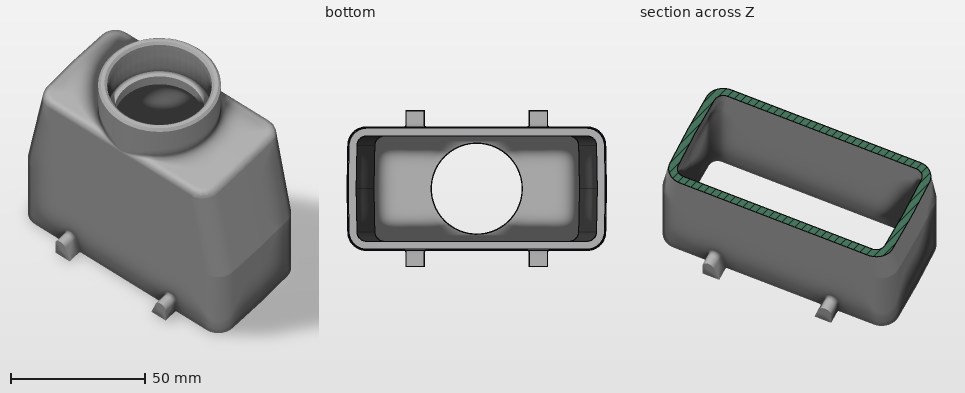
import cadquery as cq
import math

body_length = 96.5
body_width = 45.9
body_height = 75.8
shoulder_height = 32.7
end_taper = 10.0
crown_angle = 1.0
corner_radius = 6.9
top_edge_radius = 2.9
base_edge_chamfer = 0.5

wall = 3.4
cavity_height = 70.4

total_height = 91.0
collar_radius = 22.9
collar_rim_chamfer = 1.0
collar_flare = 1.0
bore_radius = 19.5
bore_floor = 75.0
entry_radius = 16.9

peg_span = 58.0
peg_tip_radius = 2.4
peg_top = 8.5
peg_bottom = 0.6
peg_outer_x = 26.3
peg_foot_x = 19.5
peg_root_fillet = 0.7

tolerance = 0.01

half_width = body_width / 2
crown = half_width * math.tan(math.radians(crown_angle))


def end_inset(height):
    """Distance each end has leaned inward at the given height."""
    return max(0.0, height - shoulder_height) * math.tan(math.radians(end_taper))


def plan_outline(height, inset):
    """Rounded plan outline with crowned ends, shrunk all round by the inset."""
    middle_x = body_length / 2 - end_inset(height) - inset
    side_x = middle_x - crown
    side_y = half_width - inset
    points = [
        (middle_x, 0),
        (side_x, side_y),
        (-side_x, side_y),
        (-middle_x, 0),
        (-side_x, -side_y),
        (side_x, -side_y),
    ]
    outline = cq.Wire.makePolygon([cq.Vector(x, y, height) for x, y in points], close=True)
    corners = [v for v in outline.Vertices() if abs(v.Y) > side_y / 2]
    return outline.fillet2D(corner_radius - inset, corners)


def tapered_block(top, inset):
    """Solid that is straight up to the shoulder and tapers from there to the top."""
    base, shoulder, crest = [plan_outline(z, inset) for z in (0, shoulder_height, top)]
    lower = cq.Solid.makeLoft([base, shoulder], True)
    upper = cq.Solid.makeLoft([shoulder, crest], True)
    return cq.Workplane(lower).union(cq.Workplane(upper))


def make_body():
    """Solid hood body with a crowned top, rounded top edge and chamfered base edge."""
    eaves_height = body_height - crown
    gable = (
        cq.Workplane("YZ")
        .moveTo(-half_width, 0)
        .lineTo(half_width, 0)
        .lineTo(half_width, eaves_height)
        .lineTo(0, body_height)
        .lineTo(-half_width, eaves_height)
        .close()
        .extrude(body_length, both=True)
    )
    spare_height = 1.0
    body = tapered_block(body_height + spare_height, 0).intersect(gable)
    top_edges = [
        edge for edge in body.edges().vals()
        if edge.Center().z > eaves_height - crown and abs(edge.Center().y) > tolerance
    ]
    body = body.newObject(top_edges).fillet(top_edge_radius)
    return body.faces("<Z").edges().chamfer(base_edge_chamfer)


def add_collar(body):
    """Join the collar and flare its foot into the top of the body."""
    collar = (
        cq.Workplane("XY", origin=(0, 0, cavity_height))
        .circle(collar_radius)
        .extrude(total_height - cavity_height)
        .faces(">Z").edges().chamfer(collar_rim_chamfer)
    )
    joined = body.union(collar)

    def on_collar_wall(point):
        return abs(math.hypot(point.x, point.y) - collar_radius) < tolerance

    foot_samples = (0, 0.5, 1)
    foot = [
        edge for edge in joined.edges().vals()
        if edge.Center().z < body_height
        and all(on_collar_wall(edge.positionAt(t)) for t in foot_samples)
    ]
    return joined.newObject(foot).fillet(collar_flare)


def make_entry():
    """Space removed for the cable: chamfered bore, then a narrower hole into the cavity."""
    rim_radius = bore_radius + collar_rim_chamfer
    return (
        cq.Workplane("XZ")
        .lineTo(entry_radius, 0)
        .lineTo(entry_radius, bore_floor)
        .lineTo(bore_radius, bore_floor)
        .lineTo(bore_radius, total_height - collar_rim_chamfer)
        .lineTo(rim_radius, total_height)
        .lineTo(0, total_height)
        .close()
        .revolve(360, (0, 0, 0), (0, 1, 0))
    )


def peg_section():
    """Outline of the left peg: upright outer side, round tip, sloping inner side."""
    centre_x = -peg_outer_x + peg_tip_radius
    centre_z = peg_top - peg_tip_radius
    foot_dx = -peg_foot_x - centre_x
    foot_dz = peg_bottom - centre_z
    foot_distance = math.hypot(foot_dx, foot_dz)
    tangent_angle = math.atan2(foot_dz, foot_dx) + math.acos(peg_tip_radius / foot_distance)
    tangent_x = centre_x + peg_tip_radius * math.cos(tangent_angle)
    tangent_z = centre_z + peg_tip_radius * math.sin(tangent_angle)
    return (
        cq.Workplane("XZ")
        .moveTo(-peg_outer_x, peg_bottom)
        .lineTo(-peg_outer_x, centre_z)
        .threePointArc((centre_x, peg_top), (tangent_x, tangent_z))
        .lineTo(-peg_foot_x, peg_bottom)
        .close()
    )


def add_pegs(hood):
    """Join the four pegs and fillet their roots, leaving the underside of each plain."""
    left_pair = peg_section().extrude(peg_span / 2, both=True)
    core = cq.Workplane("XY").box(body_length, body_width - wall, body_height, centered=(True, True, False))
    left_pair = left_pair.cut(core)
    hood = hood.union(left_pair).union(left_pair.mirror("YZ"))
    roots = [
        edge for edge in hood.edges().vals()
        if abs(abs(edge.Center().y) - half_width) < tolerance
        and peg_bottom + tolerance < edge.Center().z < peg_top
        and peg_foot_x < abs(edge.Center().x) < peg_outer_x + tolerance
    ]
    return hood.newObject(roots).fillet(peg_root_fillet)


hood = add_collar(make_body())
hood = hood.cut(tapered_block(cavity_height, wall))
hood = hood.cut(make_entry())
result = add_pegs(hood)